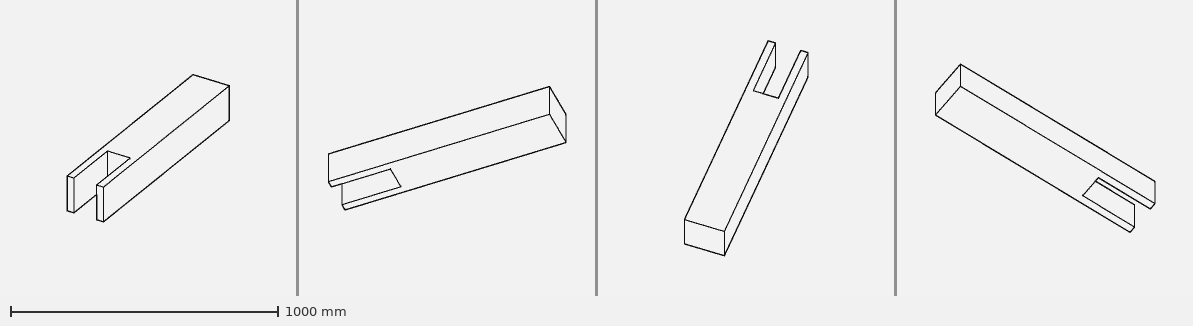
import cadquery as cq

width = 160.0
length = 900
height = 150.0

slot_width = 100.0
slot_depth = 240.0

bar = cq.Workplane("XY").box(width, length, height)
slot = (
    cq.Workplane("XY")
    .box(slot_width, slot_depth, height)
    .translate((0, (slot_depth - length) / 2, 0))
)

result = bar.cut(slot)